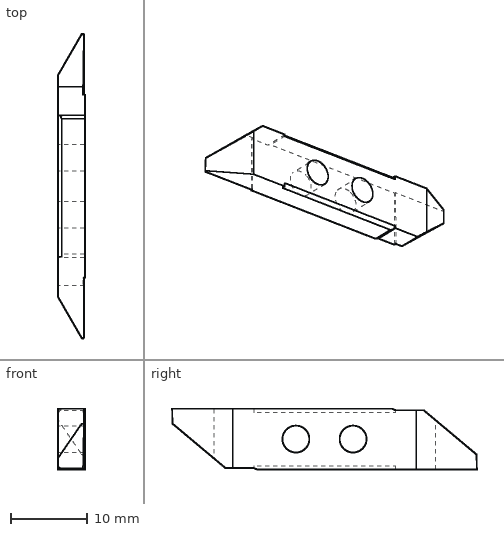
import cadquery as cq
import math

LENGTH = 40.0
THICKNESS = 3.6
HEIGHT = 8.0
HALF_LENGTH = LENGTH / 2
HALF_THICKNESS = THICKNESS / 2
HALF_HEIGHT = HEIGHT / 2

STEP_DEPTH = 0.2
STEP_RAMP_START = 8.85
STEP_RAMP_END = 9.3

SLOPE_START = 13.0
SLOPE_ANGLE = 40.0

BEVEL_ANGLE = 30.0
NOSE_RADIUS = 0.17

RELIEF_START = 12.0
RELIEF_AT_EDGE = 0.16
RELIEF_ANGLE = 1.0

CHAMFER_SIZE = 0.5
CHAMFER_LENGTH = 18.5

HOLE_DIAMETER = 3.5
HOLE_SPACING = 7.5


def tan_degrees(angle):
    return math.tan(math.radians(angle))


SHARP_TIP = HALF_LENGTH + NOSE_RADIUS / tan_degrees(BEVEL_ANGLE / 2) - NOSE_RADIUS
TIP_THICKNESS = THICKNESS - RELIEF_AT_EDGE
BEVEL_START = SHARP_TIP - TIP_THICKNESS / tan_degrees(BEVEL_ANGLE)


def with_turned_copy(cutter):
    """Join a cutter to its copy made by half a turn about X."""
    return cutter.union(cutter.rotate((0, 0, 0), (1, 0, 0), 180))


def body():
    """Plate with the stepped and sloped side outline, both ends still sharp-cornered."""
    step_level = HALF_HEIGHT - STEP_DEPTH
    slope_drop = (SHARP_TIP - SLOPE_START) * tan_degrees(SLOPE_ANGLE)
    upper_half = [
        (-SHARP_TIP, HALF_HEIGHT),
        (STEP_RAMP_START, HALF_HEIGHT),
        (STEP_RAMP_END, step_level),
        (SLOPE_START, step_level),
        (SHARP_TIP, step_level - slope_drop),
    ]
    lower_half = [(-y, -z) for y, z in upper_half]
    outline = cq.Workplane("YZ", origin=(-HALF_THICKNESS, 0, 0)).polyline(upper_half + lower_half)
    return outline.close().extrude(THICKNESS)


def side_relief():
    """Wedge off the +X face at the -Y end, shallowest along the top."""
    depth_at_bottom = RELIEF_AT_EDGE + HEIGHT * tan_degrees(RELIEF_ANGLE)
    section = [
        (HALF_THICKNESS, HALF_HEIGHT),
        (HALF_THICKNESS - RELIEF_AT_EDGE, HALF_HEIGHT),
        (HALF_THICKNESS - depth_at_bottom, -HALF_HEIGHT),
        (HALF_THICKNESS, -HALF_HEIGHT),
    ]
    wedge = cq.Workplane("XZ", origin=(0, -RELIEF_START, 0)).polyline(section).close()
    return wedge.extrude(SHARP_TIP - RELIEF_START)


def tip_bevel():
    """Upright prism that bevels the -X face at the -Y end."""
    bevel_end = BEVEL_START + THICKNESS / tan_degrees(BEVEL_ANGLE)
    plan = [
        (-HALF_THICKNESS, -BEVEL_START),
        (HALF_THICKNESS, -bevel_end),
        (-HALF_THICKNESS, -bevel_end),
    ]
    return cq.Workplane("XY").polyline(plan).close().extrude(HALF_HEIGHT, both=True)


def edge_chamfer():
    """Triangular bar that chamfers the middle of the top -X edge and leaves square ends."""
    section = [
        (-HALF_THICKNESS, HALF_HEIGHT),
        (-HALF_THICKNESS + CHAMFER_SIZE, HALF_HEIGHT),
        (-HALF_THICKNESS, HALF_HEIGHT - CHAMFER_SIZE),
    ]
    bar = cq.Workplane("XZ", origin=(0, CHAMFER_LENGTH / 2, 0)).polyline(section).close()
    return bar.extrude(CHAMFER_LENGTH)


def mounting_holes():
    """Two round holes side by side along Y."""
    centres = [(-HOLE_SPACING / 2, 0), (HOLE_SPACING / 2, 0)]
    plane = cq.Workplane("YZ", origin=(-HALF_THICKNESS, 0, 0)).pushPoints(centres)
    return plane.circle(HOLE_DIAMETER / 2).extrude(THICKNESS)


insert = body()
insert = insert.cut(with_turned_copy(side_relief()))
insert = insert.cut(with_turned_copy(tip_bevel()))

for tip_end in ("<Y", ">Y"):
    insert = insert.edges("not #Z").edges(tip_end).fillet(NOSE_RADIUS)

insert = insert.cut(with_turned_copy(edge_chamfer()))
result = insert.cut(mounting_holes())